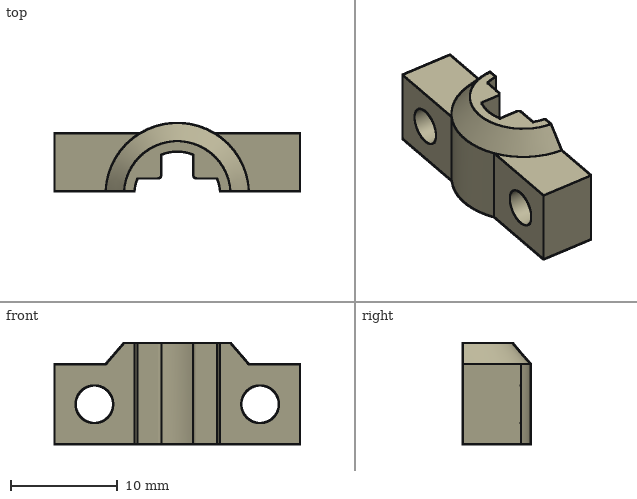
import cadquery as cq

length = 23.0
total_height = 9.5
flange_height = 7.5
split_gap = 0.3
flange_depth = 5.45
barrel_radius = 6.72
barrel_top_radius = 5.0
bore_radius = 4.0
slot_width = 3.0
slot_corner_radius = 0.3
bolt_diameter = 3.5
bolt_spacing = 15.5
bolt_height = flange_height / 2


def make_flange():
    return (
        cq.Workplane("XY")
        .box(length, flange_depth, flange_height, centered=(True, False, False))
        .translate((0, split_gap, 0))
    )


def make_barrel():
    """Round barrel with a tapered top, kept only behind the split face."""
    profile = (
        cq.Workplane("XZ")
        .moveTo(0, 0)
        .lineTo(barrel_radius, 0)
        .lineTo(barrel_radius, flange_height)
        .lineTo(barrel_top_radius, total_height)
        .lineTo(0, total_height)
        .close()
    )
    barrel = profile.revolve(360, (0, 0, 0), (0, 1, 0))
    kept_half = (
        cq.Workplane("XY")
        .box(2 * barrel_radius, barrel_radius, total_height, centered=(True, False, False))
        .translate((0, split_gap, 0))
    )
    return barrel.intersect(kept_half)


def make_bore():
    """Cross-shaped bore: two crossing slots with round ends and eased inner corners."""
    slot_length = 2 * bore_radius
    cross = (
        cq.Workplane("XY")
        .rect(slot_length, slot_width)
        .extrude(total_height)
        .union(cq.Workplane("XY").rect(slot_width, slot_length).extrude(total_height))
    )
    inner_corners = cq.selectors.BoxSelector(
        (-slot_width, -slot_width, 0), (slot_width, slot_width, total_height)
    )
    cross = cross.edges("|Z").edges(inner_corners).fillet(slot_corner_radius)
    round_limit = cq.Workplane("XY").circle(bore_radius).extrude(total_height)
    return cross.intersect(round_limit)


def make_bolt_holes():
    return (
        cq.Workplane("XZ")
        .pushPoints([(side * bolt_spacing / 2, bolt_height) for side in (-1, 1)])
        .circle(bolt_diameter / 2)
        .extrude(-(split_gap + flange_depth))
    )


result = make_flange().union(make_barrel()).cut(make_bore()).cut(make_bolt_holes())